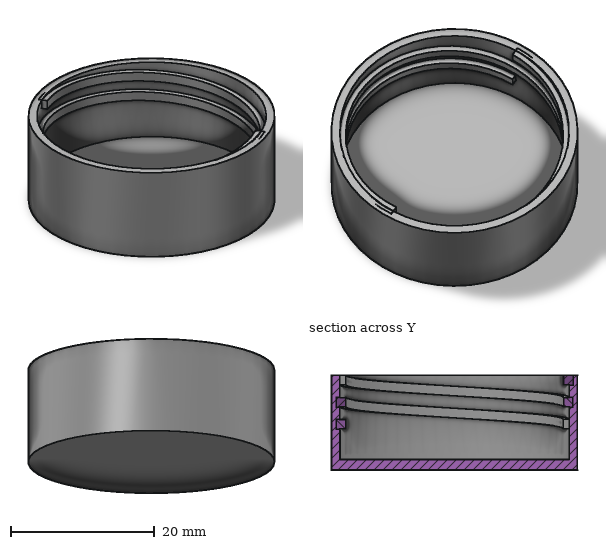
import cadquery as cq

cap_diameter = 34.23
cap_height = 13.2
bore_diameter = 31.87
floor_thickness = 1.5

thread_starts = 2
thread_inner_radius = 15.13
thread_outer_radius = 16.43
thread_height = 1.35
thread_pitch = 6.13
thread_turns = 1
thread_top_gap = 0.007

thread_rise = thread_pitch * thread_turns
thread_bottom = cap_height - thread_top_gap - thread_height - thread_rise


def make_thread(start_angle):
    """One right-handed rib climbing from start_angle, with a rectangular section."""
    path = cq.Wire.makeHelix(thread_pitch, thread_rise, thread_inner_radius)
    section = cq.Workplane("XZ").moveTo(thread_inner_radius, 0).rect(
        thread_outer_radius - thread_inner_radius, thread_height, centered=False
    )
    rib = section.sweep(cq.Workplane(path), isFrenet=True)
    return rib.translate((0, 0, thread_bottom)).rotate((0, 0, 0), (0, 0, 1), start_angle)


def make_cap(threads):
    """The cup, with a helical groove in its wall for each thread."""
    cup = (
        cq.Workplane("XY")
        .circle(cap_diameter / 2)
        .extrude(cap_height)
        .faces(">Z")
        .workplane()
        .hole(bore_diameter, cap_height - floor_thickness)
    )
    for thread in threads:
        cup = cup.cut(thread)
    return cup


threads = [make_thread(start * 360 / thread_starts) for start in range(thread_starts)]
cap = make_cap(threads)

result = cq.Compound.makeCompound([cap.solids().val(), *[thread.solids().val() for thread in threads]])